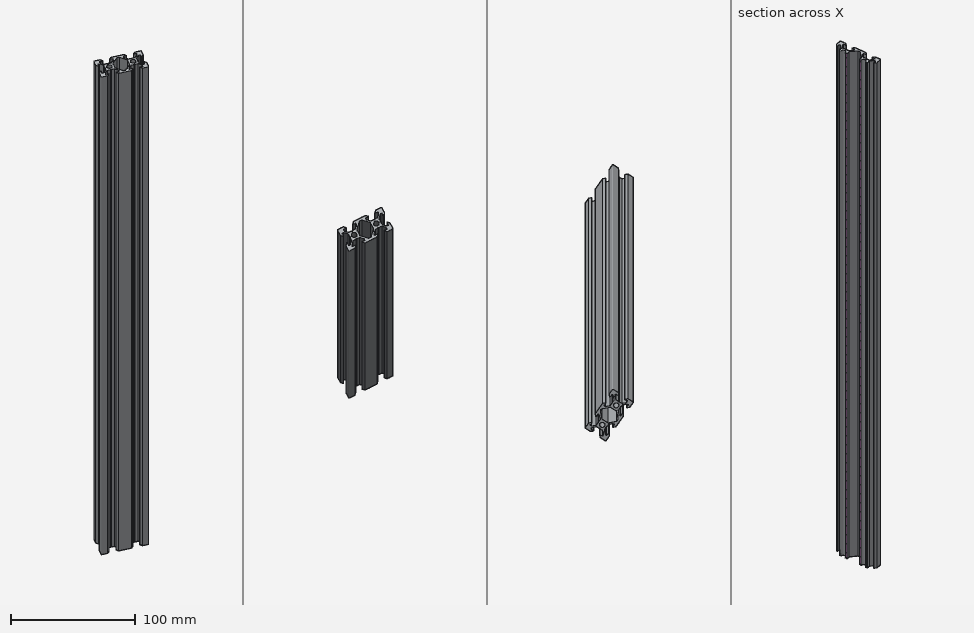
import cadquery as cq
import math

length = 520.0
depth = 40.0
width = depth / 2
half_cell = width / 2
cell_offsets = (-half_cell, half_cell)

corner_radius = 0.5
bore_diameter = 4.2
core_half = 3.9
web_thickness = 1.4
lip_thickness = 2.0
bevel_depth = 1.7
slot_side = 1.4
groove_half = 0.4
groove_depth = 0.4

web_offset = web_thickness / math.sqrt(2)

neck_half = core_half - web_offset
mouth_half = neck_half + bevel_depth
lip_back = half_cell - lip_thickness
web_start = lip_back - slot_side
slot_half = web_start - web_offset


def extruded(outline):
    """Full-length prism with the given closed outline."""
    return cq.Workplane("XY").polyline(outline).close().extrude(length)


def slot(center_y, angle):
    """V-slot opening on the side of a cell that faces the given angle."""
    half_outline = [
        (half_cell, mouth_half),
        (half_cell - bevel_depth, neck_half),
        (lip_back, neck_half),
        (lip_back, slot_half),
        (web_start, slot_half),
        (core_half, neck_half),
        (core_half, groove_half),
    ]
    groove_bottom = (core_half - groove_depth, 0)
    mirrored = [(x, -y) for x, y in reversed(half_outline)]
    cutter = extruded(half_outline + [groove_bottom] + mirrored)
    return cutter.rotate((0, 0, 0), (0, 0, 1), angle).translate((0, center_y, 0))


def central_cavity():
    """Eight-sided through cavity between the two cores, bounded by their webs."""
    wall_half = half_cell - (lip_back + web_offset)
    core_face = half_cell - core_half
    upper = [
        (lip_back, wall_half),
        (neck_half, core_face),
        (-neck_half, core_face),
        (-lip_back, wall_half),
    ]
    lower = [(-x, -y) for x, y in upper]
    return extruded(upper + lower)


result = cq.Workplane("XY").rect(width, depth).extrude(length)
result = result.edges("|Z").fillet(corner_radius)

for center_y in cell_offsets:
    outer_angle = math.copysign(90, center_y)
    for angle in (0, 180, outer_angle):
        result = result.cut(slot(center_y, angle))

result = result.cut(central_cavity())

for center_y in cell_offsets:
    bore = cq.Workplane("XY").center(0, center_y).circle(bore_diameter / 2).extrude(length)
    result = result.cut(bore)